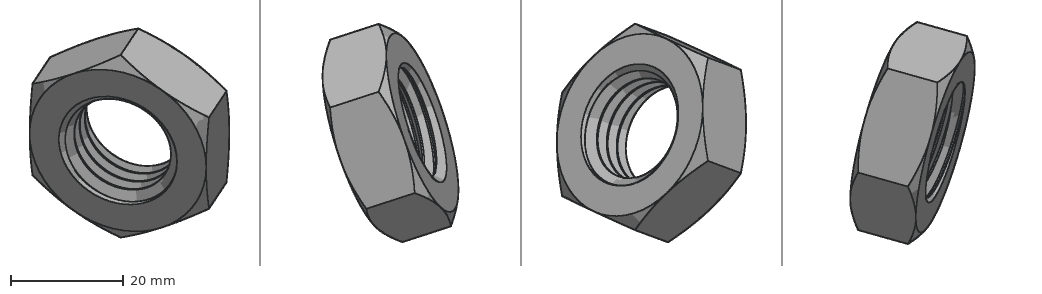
import cadquery as cq
import math

across_corners = 38.5
thickness = 12.3
half_thickness = thickness / 2
across_flats = across_corners * math.cos(math.radians(30))
corner_chamfer_angle = 30.0

minor_diameter = 18.55
major_diameter = 22.2
pitch = 2.8
root_flat = pitch / 8
flank_angle = 30.0
thread_start_angle = 90.0
groove_depth_at_top = 2.27
bore_overlap = 0.25
overrun_turns = 3
turns_past_front = 2

mouth_diameter = 22.3
mouth_angle = 45.0


def make_blank():
    """Hexagonal prism with both ends turned to cones that touch the flats."""
    corner_radius = across_corners / 2
    flat_radius = across_flats / 2
    drop = (corner_radius - flat_radius) * math.tan(math.radians(corner_chamfer_angle))
    prism = (
        cq.Workplane("XY")
        .polygon(6, across_corners)
        .extrude(half_thickness, both=True)
        .rotate((0, 0, 0), (0, 0, 1), 90)
    )
    turned_envelope = (
        cq.Workplane("XZ")
        .moveTo(0, -half_thickness)
        .lineTo(flat_radius, -half_thickness)
        .lineTo(corner_radius, drop - half_thickness)
        .lineTo(corner_radius, half_thickness - drop)
        .lineTo(flat_radius, half_thickness)
        .lineTo(0, half_thickness)
        .close()
        .revolve(360, (0, 0, 0), (0, 1, 0))
    )
    return prism.intersect(turned_envelope.rotate((0, 0, 0), (0, 0, 1), 90))


def make_bore():
    """Minor-diameter bore with a conical lead-in at each end."""
    bore_radius = minor_diameter / 2
    mouth_radius = mouth_diameter / 2
    depth = (mouth_radius - bore_radius) * math.tan(math.radians(mouth_angle))
    return (
        cq.Workplane("XZ")
        .moveTo(0, -half_thickness)
        .lineTo(mouth_radius, -half_thickness)
        .lineTo(bore_radius, depth - half_thickness)
        .lineTo(bore_radius, half_thickness - depth)
        .lineTo(mouth_radius, half_thickness)
        .lineTo(0, half_thickness)
        .close()
        .revolve(360, (0, 0, 0), (0, 1, 0))
    )


def make_thread_groove():
    """Trapezoidal groove swept along a helix that runs past both end faces."""
    inner_radius = minor_diameter / 2 - bore_overlap
    root_radius = major_diameter / 2
    root_half = root_flat / 2
    mouth_half = root_half + (root_radius - inner_radius) * math.tan(math.radians(flank_angle))
    turns = math.ceil(thickness / pitch) + overrun_turns
    length = turns * pitch
    start_height = half_thickness - groove_depth_at_top + turns_past_front * pitch - length
    helix = cq.Wire.makeHelix(pitch, length, inner_radius)
    groove = (
        cq.Workplane("XZ")
        .moveTo(inner_radius, -mouth_half)
        .lineTo(root_radius, -root_half)
        .lineTo(root_radius, root_half)
        .lineTo(inner_radius, mouth_half)
        .close()
        .sweep(cq.Workplane(obj=helix), isFrenet=True)
    )
    return groove.translate((0, 0, start_height)).rotate((0, 0, 0), (0, 0, 1), thread_start_angle)


nut = make_blank().cut(make_thread_groove()).cut(make_bore())

result = nut.rotate((0, 0, 0), (1, 0, 0), 90)